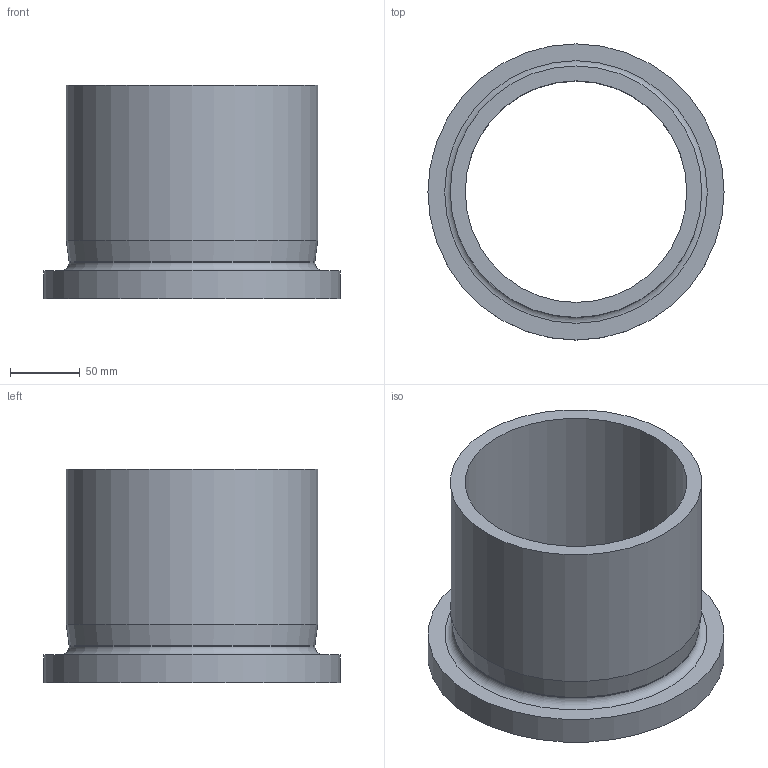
import cadquery as cq

flange_radius = 212.0 / 2
flange_height = 20.0
total_height = 153.0
pipe_radius = 180.0 / 2
wall_thickness = 10.7
bore_radius = pipe_radius - wall_thickness

neck_radius = 176.0 / 2
neck_band_height = 0.7
taper_top_height = 42.0

fillet_radius = 6.0
fillet_top_height = flange_height + fillet_radius
fillet_foot_radius = neck_radius + fillet_radius
taper_bottom_height = fillet_top_height + neck_band_height


def revolved_body():
    """Half section (radius, height) swept a full turn about Z."""
    profile = (
        cq.Workplane("XZ")
        .moveTo(bore_radius, 0)
        .lineTo(flange_radius, 0)
        .lineTo(flange_radius, flange_height)
        .lineTo(fillet_foot_radius, flange_height)
        .radiusArc((neck_radius, fillet_top_height), fillet_radius)
        .lineTo(neck_radius, taper_bottom_height)
        .lineTo(pipe_radius, taper_top_height)
        .lineTo(pipe_radius, total_height)
        .lineTo(bore_radius, total_height)
        .close()
    )
    return profile.revolve(360, (0, 0, 0), (0, 1, 0))


result = revolved_body()